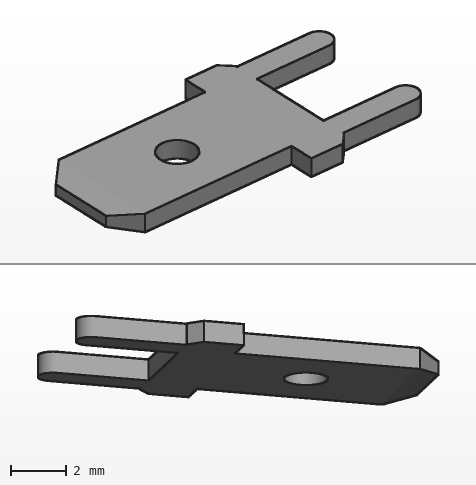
import cadquery as cq

thickness = 0.8
shoulder_width = 7.0
shoulder_length = 2.0
shoulder_chamfer = 0.5

blade_width = 4.8
blade_length = 8.0
tip_length = 1.0
tip_thickness = 0.48

pin_width = 1.1
pin_length = 4.0
pin_pitch = 4.8

hole_diameter = 1.6
hole_from_tip = 4.6

blade_root_y = -shoulder_length
blade_end_y = blade_root_y - blade_length
tip_start_y = blade_end_y + tip_length


def make_blade():
    """Flat blade whose end narrows at 45 degrees and thins on both faces."""
    half_width = blade_width / 2
    tip_half_width = half_width - tip_length
    plan = (
        cq.Workplane("XY", origin=(0, 0, -thickness / 2))
        .moveTo(-half_width, blade_root_y)
        .lineTo(-half_width, tip_start_y)
        .lineTo(-tip_half_width, blade_end_y)
        .lineTo(tip_half_width, blade_end_y)
        .lineTo(half_width, tip_start_y)
        .lineTo(half_width, blade_root_y)
        .close()
        .extrude(thickness)
    )
    side_profile = (
        cq.Workplane("YZ", origin=(-half_width, 0, 0))
        .moveTo(blade_root_y, thickness / 2)
        .lineTo(tip_start_y, thickness / 2)
        .lineTo(blade_end_y, tip_thickness / 2)
        .lineTo(blade_end_y, -tip_thickness / 2)
        .lineTo(tip_start_y, -thickness / 2)
        .lineTo(blade_root_y, -thickness / 2)
        .close()
        .extrude(blade_width)
    )
    return plan.intersect(side_profile)


def make_shoulder():
    """Wide stop between blade and pins, with its two pin-side corners cut off."""
    return (
        cq.Workplane("XY")
        .center(0, -shoulder_length / 2)
        .box(shoulder_width, shoulder_length, thickness)
        .edges("|Z and >Y")
        .chamfer(shoulder_chamfer)
    )


def make_pin(x):
    """Solder pin at the given X, ending in a full round."""
    radius = pin_width / 2
    straight_length = pin_length - radius
    return (
        cq.Workplane("XY", origin=(0, 0, -thickness / 2))
        .moveTo(x - radius, 0)
        .lineTo(x - radius, straight_length)
        .threePointArc((x, pin_length), (x + radius, straight_length))
        .lineTo(x + radius, 0)
        .close()
        .extrude(thickness)
    )


def make_hole():
    """Cutter for the round detent hole through the blade."""
    return (
        cq.Workplane("XY", origin=(0, 0, -thickness / 2))
        .center(0, blade_end_y + hole_from_tip)
        .circle(hole_diameter / 2)
        .extrude(thickness)
    )


body = make_shoulder().union(make_blade())
for side in (-1, 1):
    body = body.union(make_pin(side * pin_pitch / 2))

result = body.cut(make_hole()).clean()